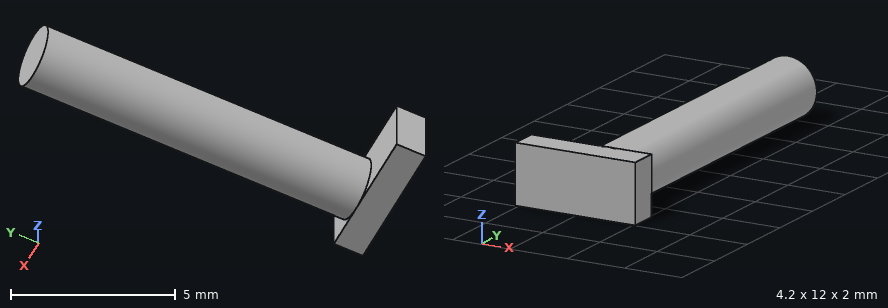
import cadquery as cq

total_length = 12.0
head_width = 4.2
head_thickness = 1.0
shaft_diameter = 2.0
shaft_offset = 2.7

head_height = shaft_diameter


def make_head():
    """Rectangular plate with its front face on Y = 0, placed about the shaft axis."""
    plate = cq.Workplane("XY").box(head_width, head_thickness, head_height, centered=(False, False, True))
    return plate.translate((-shaft_offset, 0, 0))


def make_shaft():
    """Round shaft along +Y, standing on the back face of the head."""
    start = cq.Vector(0, head_thickness, 0)
    direction = cq.Vector(0, 1, 0)
    return cq.Solid.makeCylinder(shaft_diameter / 2, total_length - head_thickness, start, direction)


result = make_head().union(cq.Workplane(make_shaft()))